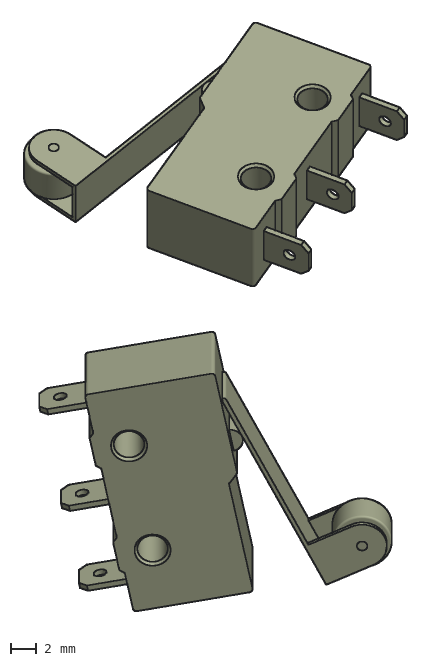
import cadquery as cq
import math


housing_thickness = 6.4
housing_right = 2.5
housing_left = -7.72
housing_back = 14.63
housing_front = -5.15
step_depth = 0.8
step_start = 5.5
housing_corner_radius = 0.3

hole_diameter = 2.35
hole_chamfer = 0.22
hole_spacing = 9.5
hole_positions_y = [0, hole_spacing]
pad_height = 0.37
pad_top_length = 2.5
pad_base_length = pad_top_length + 2 * pad_height

terminal_positions_y = [-3.3, 3.97, 12.76]
terminal_thickness = 0.5
terminal_width = 3.2
terminal_length = 3.9
terminal_chamfer = 0.64
terminal_hole_diameter = 1.0
terminal_hole_from_tip = 1.67

lever_angle = 15
lever_width = 4.05
lever_sheet = 0.35
lever_end_y = 11.61
lever_end_radius = 0.25
fork_half_length = 1.9
axis_to_lever_back = 4.02

button_radius = 0.95
button_x = housing_left + 0.07
button_y = 7.8
button_height = lever_width

roller_x = -15.8
roller_y = -3.4
roller_diameter = 4.6
roller_width = 2.9
roller_edge_radius = 0.17
roller_bore_diameter = 0.83
pin_diameter = 0.8
pin_length = lever_width


def upright_cylinder(x, y, diameter, height):
    """Cylinder along Z, centred on the mid-thickness plane."""
    return cq.Workplane("XY", origin=(x, y, -height / 2)).circle(diameter / 2).extrude(height)


def make_case():
    """Stepped block with rounded vertical corners."""
    step_left = housing_left + step_depth
    corners = [
        (step_left, housing_front),
        (housing_right, housing_front),
        (housing_right, housing_back),
        (housing_left, housing_back),
        (housing_left, step_start),
        (step_left, step_start - step_depth),
    ]
    case = cq.Workplane("XY").polyline(corners).close().extrude(housing_thickness / 2, both=True)
    return case.edges("|Z and (<Y or >Y)").fillet(housing_corner_radius)


def make_pad(y):
    """Raised pad with 45 degree ends on the right side of the case."""
    pad_right = housing_right + pad_height
    corners = [
        (0, y - pad_base_length / 2),
        (housing_right, y - pad_base_length / 2),
        (pad_right, y - pad_top_length / 2),
        (pad_right, y + pad_top_length / 2),
        (housing_right, y + pad_base_length / 2),
        (0, y + pad_base_length / 2),
    ]
    return cq.Workplane("XY").polyline(corners).close().extrude(housing_thickness / 2, both=True)


def make_mounting_hole(y):
    """Cutter for a through hole that is chamfered at both ends."""
    half_thickness = housing_thickness / 2
    hole_radius = hole_diameter / 2
    rim_radius = hole_radius + hole_chamfer
    profile = [
        (0, -half_thickness),
        (rim_radius, -half_thickness),
        (hole_radius, -half_thickness + hole_chamfer),
        (hole_radius, half_thickness - hole_chamfer),
        (rim_radius, half_thickness),
        (0, half_thickness),
    ]
    cutter = cq.Workplane("XZ").polyline(profile).close().revolve(360, (0, 0, 0), (0, 1, 0))
    return cutter.translate((0, y, 0))


def make_terminal(y):
    """Flat blade with a clipped tip and a wire hole."""
    tip_x = housing_right + terminal_length
    blade = (
        cq.Workplane("XY")
        .box(terminal_length, terminal_thickness, terminal_width)
        .translate((housing_right + terminal_length / 2, y, 0))
        .edges("|Y and >X")
        .chamfer(terminal_chamfer)
    )
    wire_hole = (
        cq.Workplane("XZ", origin=(tip_x - terminal_hole_from_tip, y, 0))
        .circle(terminal_hole_diameter / 2)
        .extrude(terminal_thickness, both=True)
    )
    return blade.cut(wire_hole)


def make_housing():
    """Case with its pads, mounting holes, terminals and push button."""
    housing = make_case()
    for y in hole_positions_y:
        housing = housing.union(make_pad(y))
    for y in hole_positions_y:
        housing = housing.cut(make_mounting_hole(y))
    for y in terminal_positions_y:
        housing = housing.union(make_terminal(y))
    button = upright_cylinder(button_x, button_y, 2 * button_radius, button_height)
    return housing.union(button)


def lever_point(outward, along):
    """Point given from the roller axis: towards the strip, and along it to its fixed end."""
    angle = math.radians(lever_angle)
    x = roller_x + outward * math.cos(angle) + along * math.sin(angle)
    y = roller_y - outward * math.sin(angle) + along * math.cos(angle)
    return (x, y)


def make_strip():
    """Sloping strip that ends against the left face of the housing."""
    slope = math.tan(math.radians(lever_angle))
    back_foot = lever_point(axis_to_lever_back, -fork_half_length)
    front_foot = lever_point(axis_to_lever_back - lever_sheet, -fork_half_length)
    back_contact = (housing_left, back_foot[1] + (housing_left - back_foot[0]) / slope)
    front_end = (front_foot[0] + (lever_end_y - front_foot[1]) * slope, lever_end_y)
    corners = [front_foot, back_foot, back_contact, (housing_left, lever_end_y), front_end]
    strip = cq.Workplane("XY").polyline(corners).close().extrude(lever_width / 2, both=True)
    end_corner = cq.selectors.NearestToPointSelector((*front_end, 0))
    return strip.edges("|Z").edges(end_corner).fillet(lever_end_radius)


def make_fork():
    """Two parallel arms with round ends, bored for the pin."""
    arms = (
        cq.Workplane("XY")
        .moveTo(*lever_point(axis_to_lever_back, -fork_half_length))
        .lineTo(*lever_point(axis_to_lever_back, fork_half_length))
        .lineTo(*lever_point(0, fork_half_length))
        .threePointArc(lever_point(-fork_half_length, 0), lever_point(0, -fork_half_length))
        .close()
        .extrude(lever_width / 2, both=True)
    )
    gap_length = 2 * (axis_to_lever_back - lever_sheet)
    gap_height = lever_width - 2 * lever_sheet
    gap = (
        cq.Workplane("XY")
        .box(gap_length, 4 * fork_half_length, gap_height)
        .rotate((0, 0, 0), (0, 0, 1), -lever_angle)
        .translate((roller_x, roller_y, 0))
    )
    pin_hole = upright_cylinder(roller_x, roller_y, pin_diameter, lever_width)
    return arms.cut(gap).cut(pin_hole)


def make_lever():
    return make_strip().union(make_fork())


def make_roller():
    """Roller with rounded rims and a bore that runs free on the pin."""
    roller = upright_cylinder(roller_x, roller_y, roller_diameter, roller_width)
    roller = roller.edges("%CIRCLE").fillet(roller_edge_radius)
    return roller.cut(upright_cylinder(roller_x, roller_y, roller_bore_diameter, roller_width))


def make_pin():
    return upright_cylinder(roller_x, roller_y, pin_diameter, pin_length)


housing = make_housing()
lever = make_lever()
roller = make_roller()
pin = make_pin()

result = cq.Compound.makeCompound([housing.val(), lever.val(), roller.val(), pin.val()])